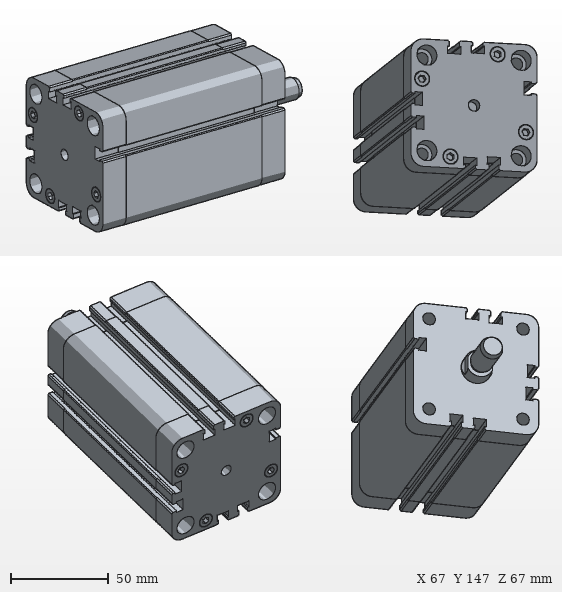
import cadquery as cq
import math

body_width = 67.0
body_length = 115.5
corner_radius = 6.7
cap_length = 14.7
cap_inset = 0.1
half_width = body_width / 2
tube_start = cap_length
tube_end = body_length - cap_length

deep_slot_offset = -10.5
deep_slot_lip = 3.1
deep_slot_depth = 7.0
shallow_slot_offset = 2.0
shallow_slot_lip = 2.2
shallow_slot_depth = 6.1
slot_opening = 5.3
slot_cavity = 7.0
cap_slot_chamfer = 0.75
tube_slot_chamfer = 0.5
tube_floor_rise = 0.3

mount_offset = 25.0
mount_hole_diameter = 6.65
mount_bore_diameter = 10.5
mount_bore_depth = 10.0

screw_near_offset = 12.5
screw_far_offset = 27.5
screw_bore_diameter = 8.0
screw_head_diameter = 7.5
screw_head_height = 4.0
socket_across_flats = 3.5
socket_depth = 3.0
half_hexagon_turn = 30

center_hole_diameter = 6.0
center_hole_depth = 6.0

rod_extension = 31.5
rod_diameter = 16.0
rod_shoulder = 24.0
rod_rounding_length = 1.75
rod_rounding_height = 0.8
thread_diameter = 12.0
thread_length = 21.0
thread_chamfer_length = 2.7
thread_runout = 0.4
neck_diameter = 10.0
wrench_width = 13.0
wrench_flat_end = 29.3
tip_y = body_length + rod_extension


def cylinder(diameter, length, x=0, z=0):
    """Cylinder from the front face into the body."""
    return cq.Workplane("XZ").center(x, z).circle(diameter / 2).extrude(-length)


def square_bar(width, radius, y_start, y_end):
    return (
        cq.Workplane("XZ", origin=(0, y_start, 0))
        .rect(width, width)
        .extrude(y_start - y_end)
        .edges("|Y")
        .fillet(radius)
    )


def t_slot(offset, lip, depth, chamfer, surface, y_start, y_end):
    """Cutter for one T-slot in the top side; depths count from the tube surface."""
    opening = slot_opening / 2
    cavity = slot_cavity / 2
    right_side = [
        (opening + chamfer, surface),
        (opening, surface - chamfer),
        (opening, half_width - lip),
        (cavity, half_width - lip),
        (cavity, half_width - depth),
    ]
    left_side = [(-x, z) for x, z in reversed(right_side)]
    return (
        cq.Workplane("XZ", origin=(offset, y_start, 0))
        .polyline(right_side + left_side)
        .close()
        .extrude(y_start - y_end)
    )


def slot_along_body(offset, lip, depth):
    """One T-slot through front cap, tube and rear cap."""
    cap_surface = half_width - cap_inset
    tube_depth = depth - tube_floor_rise
    front = t_slot(offset, lip, depth, cap_slot_chamfer, cap_surface, 0, tube_start)
    middle = t_slot(offset, lip, tube_depth, tube_slot_chamfer, half_width, tube_start, tube_end)
    rear = t_slot(offset, lip, depth, cap_slot_chamfer, cap_surface, tube_end, body_length)
    return front.union(middle).union(rear)


def about_rod_axis(shape, quarter_turns):
    return shape.rotate((0, 0, 0), (0, 1, 0), -90 * quarter_turns)


def make_body():
    cap_width = body_width - 2 * cap_inset
    cap_radius = corner_radius - cap_inset
    front_cap = square_bar(cap_width, cap_radius, 0, tube_start)
    tube = square_bar(body_width, corner_radius, tube_start, tube_end)
    rear_cap = square_bar(cap_width, cap_radius, tube_end, body_length)
    body = front_cap.union(tube).union(rear_cap)
    deep_slot = slot_along_body(deep_slot_offset, deep_slot_lip, deep_slot_depth)
    shallow_slot = slot_along_body(shallow_slot_offset, shallow_slot_lip, shallow_slot_depth)
    for turn in range(4):
        body = body.cut(about_rod_axis(deep_slot, turn))
    for turn in range(3):
        body = body.cut(about_rod_axis(shallow_slot, turn))
    return body


def cut_mounting_holes(body):
    for x in (-mount_offset, mount_offset):
        for z in (-mount_offset, mount_offset):
            body = body.cut(cylinder(mount_hole_diameter, body_length, x, z))
            body = body.cut(cylinder(mount_bore_diameter, mount_bore_depth, x, z))
    return body


def cut_cap_screws(body):
    """Leave each screw head standing inside a ring gap and cut its hexagon socket."""
    gap = cylinder(screw_bore_diameter, screw_head_height).cut(
        cylinder(screw_head_diameter, screw_head_height)
    )
    socket = (
        cq.Workplane("XZ")
        .polygon(6, socket_across_flats / math.cos(math.radians(half_hexagon_turn)))
        .extrude(-socket_depth)
        .rotate((0, 0, 0), (0, 1, 0), half_hexagon_turn)
    )
    screw = gap.union(socket).translate((screw_near_offset, 0, screw_far_offset))
    for turn in range(4):
        body = body.cut(about_rod_axis(screw, turn))
    return body


def make_rod():
    """Rod outside the body: rounded shoulder, undercut neck and plain thread envelope."""
    rod_radius = rod_diameter / 2
    thread_radius = thread_diameter / 2
    neck_radius = neck_diameter / 2
    shoulder_y = tip_y - rod_shoulder
    rounding_start = (rod_radius, shoulder_y - rod_rounding_length)
    rounding_end = (rod_radius - rod_rounding_height, shoulder_y)
    rod = (
        cq.Workplane("XY")
        .moveTo(0, body_length)
        .lineTo(rod_radius, body_length)
        .lineTo(*rounding_start)
        .tangentArcPoint(rounding_end, relative=False)
        .lineTo(neck_radius, shoulder_y)
        .lineTo(neck_radius, tip_y - thread_length - thread_runout)
        .lineTo(thread_radius, tip_y - thread_length)
        .lineTo(thread_radius, tip_y - thread_chamfer_length)
        .lineTo(neck_radius, tip_y)
        .lineTo(0, tip_y)
        .close()
        .revolve(360, (0, 0), (0, 1))
    )
    return rod.cut(wrench_flats())


def wrench_flats():
    """Two opposed flats, each ending in a 45 degree ramp up to the rod surface."""
    flat_x = wrench_width / 2
    rise = rod_diameter / 2 - flat_x
    ramp_start = tip_y - wrench_flat_end
    flat = (
        cq.Workplane("XY")
        .polyline([
            (flat_x, tip_y - rod_shoulder),
            (flat_x, ramp_start),
            (flat_x + rise, ramp_start - rise),
            (flat_x + rise, tip_y - rod_shoulder),
        ])
        .close()
        .extrude(rod_diameter / 2, both=True)
    )
    return flat.union(flat.mirror("YZ"))


body = make_body()
body = cut_mounting_holes(body)
body = cut_cap_screws(body)
body = body.cut(cylinder(center_hole_diameter, center_hole_depth))
result = body.union(make_rod())